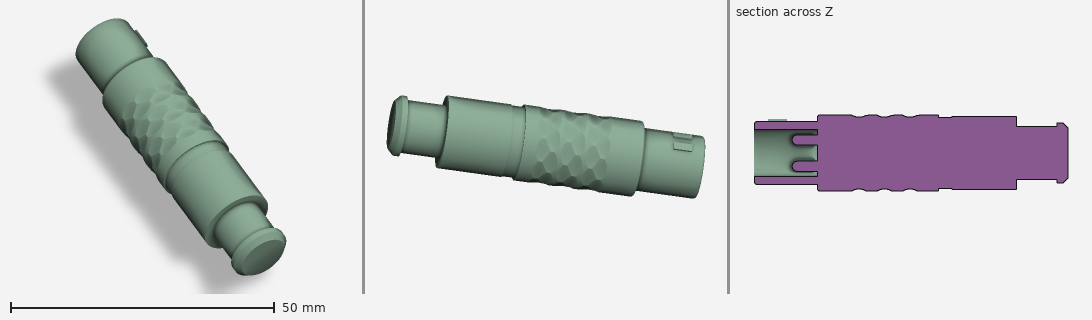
import cadquery as cq
import math

length = 59.5
nose_end = 11.9
grip_end = 34.9
neck_end = 37.4
collar_end = 49.75
flange_start = 57.35

nose_radius = 6.0
grip_radius = 7.25
neck_radius = 6.8
collar_radius = 6.95
tail_radius = 5.05
flange_radius = 5.8

nose_round = 0.6
grip_round = 0.6
flange_chamfer = 1.1

bore_radius = 4.4
bore_depth = nose_end
pin_radius = 1.0
pin_length = 4.75
pin_spacing = 5.0

key_start = 2.7
key_end = 6.3
key_radius = 6.5
key_inner_angle = 7.0
key_outer_angle = 20.4

band_count = 3
band_pitch = 4.8
first_scoop_x = 19.9
row_offset = 1.4
scoops_per_row = 10
scoop_depth = 0.4
scoop_half_width = 1.4
scoop_radius = (scoop_half_width**2 + scoop_depth**2) / (2 * scoop_depth)


def turned_step(start, end, radius):
    """Solid disc along X between two stations."""
    return cq.Workplane("YZ", origin=(start, 0, 0)).circle(radius).extrude(end - start)


def turned_body():
    nose = turned_step(0, nose_end, nose_radius).faces("<X").edges().fillet(nose_round)
    grip = turned_step(nose_end, grip_end, grip_radius).faces("<X").edges().fillet(grip_round)
    neck = turned_step(grip_end, neck_end, neck_radius)
    collar = turned_step(neck_end, collar_end, collar_radius)
    tail = turned_step(collar_end, flange_start, tail_radius)
    flange = turned_step(flange_start, length, flange_radius).faces(">X").edges().chamfer(flange_chamfer)
    grip = knurled(grip)
    return nose.union(grip).union(neck).union(collar).union(tail).union(flange)


def knurled(grip):
    """Cut every scoop; each cutter lies tangent to the grip, square to the X axis."""
    step_angle = 360 / scoops_per_row
    axis_height = grip_radius - scoop_depth + scoop_radius
    for row in range(2 * band_count):
        band, second_row = divmod(row, 2)
        x = first_scoop_x + band * band_pitch + second_row * row_offset
        cutter = (
            cq.Workplane("XZ", origin=(x, 0, axis_height))
            .circle(scoop_radius)
            .extrude(grip_radius / 2, both=True)
        )
        first_angle = 90 + second_row * step_angle / 2
        for index in range(scoops_per_row):
            angle = first_angle + index * step_angle
            grip = grip.cut(cutter.rotate((0, 0, 0), (1, 0, 0), angle))
    return grip


def pin(y):
    """Round-tipped contact standing on the floor of the bore."""
    shank_start = bore_depth - pin_length + pin_radius
    shank = turned_step(shank_start, bore_depth, pin_radius)
    tip = cq.Workplane("XY").sphere(pin_radius).translate((shank_start, 0, 0))
    return shank.union(tip).translate((0, y, 0))


def key(side):
    """Raised arc segment above (side = 1) or below (side = -1) the XY plane."""

    def polar(radius, degrees):
        angle = math.radians(degrees)
        return radius * math.cos(angle), side * radius * math.sin(angle)

    root_radius = (bore_radius + nose_radius) / 2
    middle_angle = (key_inner_angle + key_outer_angle) / 2
    return (
        cq.Workplane("YZ", origin=(key_start, 0, 0))
        .moveTo(*polar(root_radius, key_inner_angle))
        .lineTo(*polar(key_radius, key_inner_angle))
        .threePointArc(polar(key_radius, middle_angle), polar(key_radius, key_outer_angle))
        .lineTo(*polar(root_radius, key_outer_angle))
        .close()
        .extrude(key_end - key_start)
    )


result = turned_body().cut(turned_step(0, bore_depth, bore_radius))
for side in (-1, 1):
    result = result.union(pin(side * pin_spacing / 2)).union(key(side))